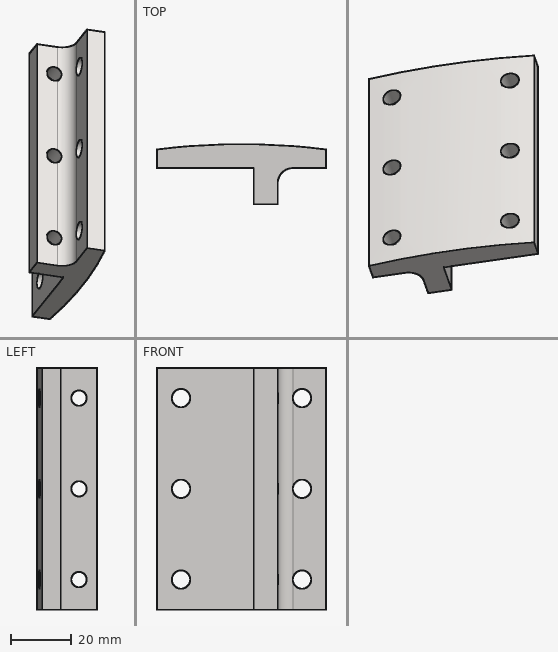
import cadquery as cq
import math

width = 56.0
height = 80.0
crown_thickness = 8.0
crown_radius = 220.0

leg_length = 12.0
leg_thickness = 8.0
leg_left = 4.0
leg_right = leg_left + leg_thickness
fillet_radius = 5.0

hole_levels = (-30.0, 0.0, 30.0)
plate_hole_diameter = 6.0
plate_hole_offset = 20.0
leg_hole_diameter = 5.0
leg_hole_y = -leg_length / 2

half_width = width / 2
crown_rise = crown_radius - math.sqrt(crown_radius**2 - half_width**2)
edge_thickness = crown_thickness - crown_rise


def make_body():
    """Extrude the crowned plate and its leg; the plate's flat face is at Y = 0."""
    fillet_mid_x = leg_right + fillet_radius * (1 - math.sqrt(0.5))
    fillet_mid_y = -fillet_radius * (1 - math.sqrt(0.5))
    return (
        cq.Workplane("XY", origin=(0, 0, -height / 2))
        .moveTo(-half_width, 0)
        .lineTo(leg_left, 0)
        .lineTo(leg_left, -leg_length)
        .lineTo(leg_right, -leg_length)
        .lineTo(leg_right, -fillet_radius)
        .threePointArc((fillet_mid_x, fillet_mid_y), (leg_right + fillet_radius, 0))
        .lineTo(half_width, 0)
        .lineTo(half_width, edge_thickness)
        .threePointArc((0, crown_thickness), (-half_width, edge_thickness))
        .close()
        .extrude(height)
    )


def make_plate_holes():
    """Cylinders along Y, in a column on each side of the plate."""
    centres = [(x, z) for x in (-plate_hole_offset, plate_hole_offset) for z in hole_levels]
    return (
        cq.Workplane("XZ")
        .pushPoints(centres)
        .circle(plate_hole_diameter / 2)
        .extrude(crown_thickness, both=True)
    )


def make_leg_holes():
    """Cylinders along X, through the leg and the toe of its fillet."""
    centres = [(leg_hole_y, z) for z in hole_levels]
    return (
        cq.Workplane("YZ")
        .pushPoints(centres)
        .circle(leg_hole_diameter / 2)
        .extrude(half_width)
    )


result = make_body().cut(make_plate_holes()).cut(make_leg_holes())